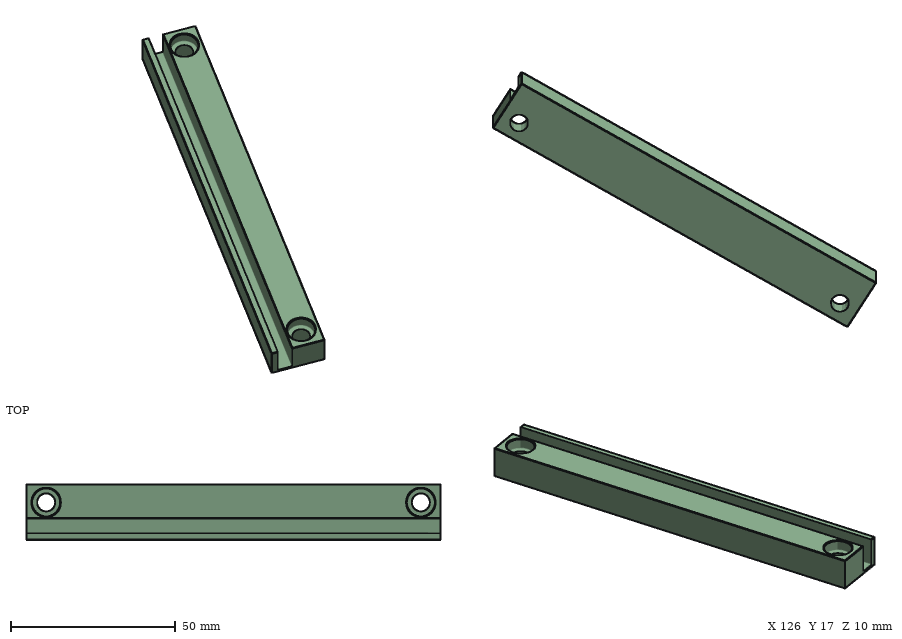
import cadquery as cq
import math

length = 126.0
width = 17.0
height = 10.0
edge_chamfer = 0.2

lip_thickness = 2.0
groove_width = 4.5
floor_thickness = 1.0

hole_diameter = 5.4
counterbore_diameter = 8.5
counterbore_depth = 3.5
mouth_chamfer = 0.3
hole_end_distance = 6.0
hole_back_distance = 5.5

corner_radius = 0.4

lip_inner_y = -width / 2 + lip_thickness
block_front_y = lip_inner_y + groove_width
hole_x = length / 2 - hole_end_distance
hole_y = width / 2 - hole_back_distance


def make_blank():
    """Solid bar with all outer edges chamfered."""
    bar = cq.Workplane("XY").box(length, width, height, centered=(True, True, False))
    return bar.edges().chamfer(edge_chamfer)


def groove_cutter():
    """Full-length groove, open at the top, with rounded bottom corners."""
    groove = (
        cq.Workplane("XY", origin=(0, lip_inner_y, floor_thickness))
        .box(length, groove_width, height, centered=(True, False, False))
    )
    return groove.edges("|X and <Z").fillet(corner_radius)


def chamfer_block_edge(rail):
    """Break the top edge of the block beside the groove."""
    edge_middle = (0, block_front_y, height)
    return rail.edges(cq.selectors.NearestToPointSelector(edge_middle)).chamfer(edge_chamfer)


def screw_hole_cutter(x):
    """Through hole and counterbore with a rounded shoulder corner and a chamfered mouth."""
    bore_radius = hole_diameter / 2
    counterbore_radius = counterbore_diameter / 2
    shoulder_z = height - counterbore_depth
    arc_inset = corner_radius * (1 - math.sqrt(0.5))
    cutter = (
        cq.Workplane("XZ")
        .lineTo(bore_radius, 0)
        .lineTo(bore_radius, shoulder_z)
        .lineTo(counterbore_radius - corner_radius, shoulder_z)
        .threePointArc(
            (counterbore_radius - arc_inset, shoulder_z + arc_inset),
            (counterbore_radius, shoulder_z + corner_radius),
        )
        .lineTo(counterbore_radius, height - mouth_chamfer)
        .lineTo(counterbore_radius + mouth_chamfer, height)
        .lineTo(0, height)
        .close()
        .revolve(360, (0, 0), (0, 1))
    )
    return cutter.translate((x, hole_y, 0))


result = chamfer_block_edge(make_blank().cut(groove_cutter()))
for x in (-hole_x, hole_x):
    result = result.cut(screw_hole_cutter(x))